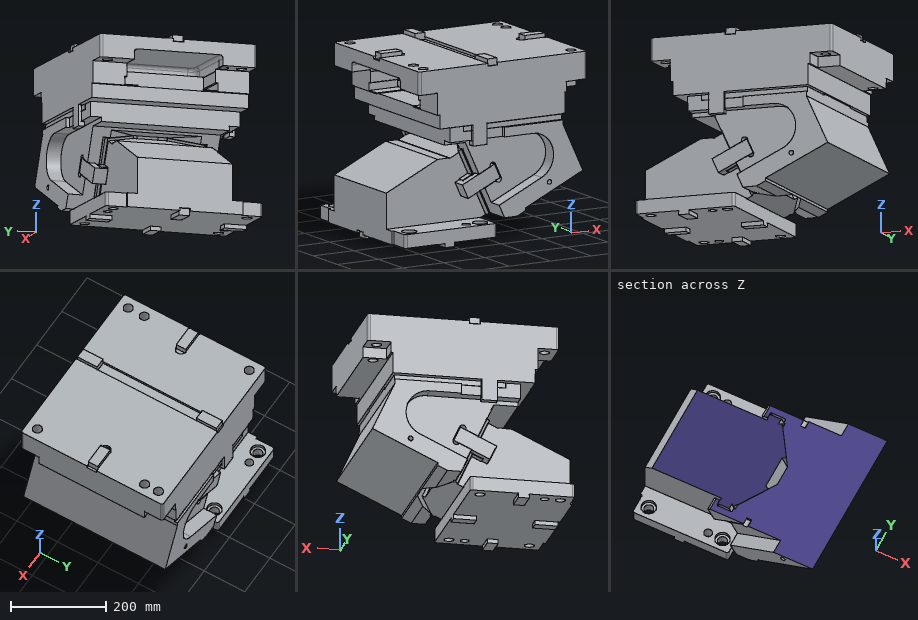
import cadquery as cq
import math

WIDTH = 350.0
HALF = WIDTH / 2
LENGTH = 450.0
HEIGHT = 393.0
CORNER_R = 5.5

KEY_WIDTH = 23.5
KEY_LENGTH = 49.5
KEY_PROUD = 9.0
KEY_SUNK = 6.0

PLATE_BACK = 39.0
PLATE_TOP = HEIGHT - KEY_PROUD
PLATE_UNDER = 333.5
BODY_BACK = 84.0
WALL_BACK = 90.0
WALL_TOP = 286.0
BODY_FRONT = 396.0
HOUSING_BOTTOM = 256.0
LIP_UNDER = 301.0
NOTCH_TOP = 324.0
NOTCH_BACK = 399.5
NOTCH_DEPTH = 45.0
HOUSING_KEY_X = 219.5
HOUSING_KEY_INNER = 122.5
BACK_KEY_EXTRA = 1.5
HOUSING_HOLE_D = 20.5
HOUSING_HOLE_BACK = 65.0
HOUSING_HOLE_FRONT = 425.2
HOLE_Y = 149.5
DOWEL_BACK_Y = -110.0
DOWEL_FRONT_Y = 115.0
LUG_BACK = 171.0
LUG_FRONT = 205.0
LUG_BOTTOM = 210.5
LUG_LIP_TOP = 220.0
LUG_INNER = 168.8
LUG_LIP_INNER = 161.5
POCKET_HALF = 99.0
POCKET_TOP = 356.0
POCKET_FRONT = 202.5
POCKET_CORNER_R = 19.0
POCKET_ROOF_R = 7.5

SLIDER_BACK = 120.0
SLIDER_FRONT = 391.5
SLIDER_TOP = 254.0
FLANGE_UNDER = 222.0
SLIDER_UNDER = 212.5
SLIDER_BOTTOM = 48.0
CORE_HALF = 142.5
FLANGE_HALF = 167.0
STRIP_HALF = 168.5
STRIP_BACK = 152.0
STRIP_UNDER = 242.5
SHOULDER_BACK = 248.5
RECESS_R = 51.0
RECESS_CENTER_X = 317.0
RECESS_OPEN_X = 97.5
LEG_HOLE_D = 10.0
LEG_HOLE_DEPTH = 22.5
LEG_HOLE_X = 357.8
LEG_HOLE_Z = 113.5
TONGUE_BACK = 152.0
TONGUE_TOP = 329.5
TONGUE_HALF = 96.8
TONGUE_ROOT = 4.5
HEAD_TOP = 303.5
HEAD_HALF = 102.0
HEAD_UNDER = 290.0
NECK_HALF = 73.0
TONGUE_GAP = 2.0

WEDGE_ANGLE = math.radians(25)
WEDGE_X = 211.5
WEDGE_Z = 127.0
COS = math.cos(WEDGE_ANGLE)
SIN = math.sin(WEDGE_ANGLE)

SLIDER_NOSE = 208.0
SLIDER_LOW = -94.5
SHELF_LOW = -100.0
SHELF_X = 299.5

FOOT_BACK = 5.0
FOOT_FRONT = 229.5
FOOT_BOTTOM = KEY_PROUD
FOOT_TOP = 38.5
BOSS_HALF = 129.0
BLOCK_HALF = 106.5
BLOCK_SHOULDER = 116.0
BLOCK_TOP = 174.5
BLOCK_FLAT_FRONT = 155.0
DRIVER_KEY_X = 114.8
DRIVER_HOLE_D = 20.5
DRIVER_CBORE_D = 32.5
DRIVER_CBORE_DEPTH = 7.5
DRIVER_HOLE_BACK = 30.5
DRIVER_HOLE_FRONT = 203.5
DRIVER_DOWEL_PITCH = 33.8
DRIVER_DOWEL_D = 18.0
DRIVER_HIGH = 66.0
DRIVER_LOW = -88.5
DRIVER_END = -6.8
ROOF_ANGLE = math.radians(30)
RIDGE_HALF = 38.0
WEAR_THICKNESS = 7.5
WEAR_HIGH = 71.5
WEAR_OVERHANG = 2.5
GROOVE_RIDGE_HALF = 23.5
RELIEF_HALF = 116.0
RELIEF_DEPTH = 3.0
RUNOUT_HALF = 101.0
RUNOUT_TOP = 207.0
RUNOUT_OVERLAP = 4.5

HOOK_BACK = -44.0
HOOK_FRONT = 42.5
HOOK_LOW = -19.0
HOOK_HIGH = 15.0
HOOK_OUTER = 141.5
HOOK_INNER = 111.0
ARM_INNER = 125.5
CLAW_LENGTH = 13.0
HOOK_RELIEF_R = 6.8
HOOK_END_GAP = 1.5
CATCH_OUTER = 122.0
CATCH_MARGIN = 0.5


def box(x0, x1, y0, y1, z0, z1):
    return cq.Workplane("XY").box(x1 - x0, y1 - y0, z1 - z0, centered=False).translate((x0, y0, z0))


def both_sides(shape):
    """The shape and its mirror image across Y = 0."""
    return shape.union(shape.mirror("XZ"))


def side_profile(points, half_width):
    """A closed X-Z outline extruded equally to both sides of Y = 0."""
    return cq.Workplane("XZ").polyline(points).close().extrude(half_width, both=True)


def wedge_point(along, across):
    """X and Z of a point given along and across the drive direction."""
    return (WEDGE_X + along * COS - across * SIN, WEDGE_Z + along * SIN + across * COS)


def on_line_at_x(across, x):
    """Point at a given X on the line that runs along the drive direction."""
    return wedge_point((x - WEDGE_X + across * SIN) / COS, across)


def on_line_at_z(along, z):
    """Point at a given Z on the line that runs square to the drive direction."""
    return wedge_point(along, (z - WEDGE_Z - along * SIN) / COS)


def wedge_box(along0, along1, y0, y1, across0, across1):
    """A block aligned with the drive direction."""
    corners = [
        wedge_point(along0, across0),
        wedge_point(along1, across0),
        wedge_point(along1, across1),
        wedge_point(along0, across1),
    ]
    return cq.Workplane("XZ", origin=(0, y0, 0)).polyline(corners).close().extrude(y0 - y1)


def wedge_section(points, across0, across1):
    """A (Y, along) section extruded across the drive direction."""
    x, z = wedge_point(0, across0)
    plane = cq.Plane(origin=(x, 0, z), xDir=(0, -1, 0), normal=(-SIN, 0, COS))
    outline = [(-y, along) for y, along in points]
    return cq.Workplane(plane).polyline(outline).close().extrude(across1 - across0)


def mirrored(points):
    """Close a section symmetrically from its +Y half."""
    return points + [(-y, height) for y, height in reversed(points)]


def keys_along_y(x_center, y_inner, z0, z1):
    half_key = KEY_WIDTH / 2
    return both_sides(box(x_center - half_key, x_center + half_key, y_inner, y_inner + KEY_LENGTH, z0, z1))


def key_along_x(x0, x1, z0, z1):
    return box(x0, x1, -KEY_WIDTH / 2, KEY_WIDTH / 2, z0, z1)


def tongue(x0, x1, gap):
    """The T-shaped tongue, grown by a clearance."""
    half_section = [
        (NECK_HALF + gap, SLIDER_TOP - TONGUE_ROOT),
        (NECK_HALF + gap, HEAD_UNDER - gap),
        (HEAD_HALF + gap, HEAD_UNDER - gap),
        (HEAD_HALF + gap, HEAD_TOP + gap),
        (TONGUE_HALF + gap, HEAD_TOP + gap),
        (TONGUE_HALF + gap, TONGUE_TOP),
    ]
    section = mirrored(half_section)
    return cq.Workplane("YZ", origin=(x0, 0, 0)).polyline(section).close().extrude(x1 - x0)


def make_housing():
    plate = box(PLATE_BACK, LENGTH, -HALF, HALF, LIP_UNDER, PLATE_TOP).edges("|Z").fillet(CORNER_R)
    plate = plate.cut(box(PLATE_BACK, BODY_BACK, -HALF, HALF, LIP_UNDER, PLATE_UNDER))
    body = side_profile(
        [
            (BODY_BACK, PLATE_TOP),
            (BODY_BACK, WALL_TOP),
            (WALL_BACK, WALL_TOP),
            (WALL_BACK, HOUSING_BOTTOM),
            (BODY_FRONT, HOUSING_BOTTOM),
            (BODY_FRONT, PLATE_TOP),
        ],
        HALF,
    )
    notches = both_sides(box(NOTCH_BACK, LENGTH, HALF - NOTCH_DEPTH, HALF, LIP_UNDER, NOTCH_TOP))
    housing = plate.union(body).cut(notches)
    housing = housing.union(both_sides(retaining_lug()))
    housing = housing.cut(tongue_pocket())
    wall = box(BODY_BACK, TONGUE_BACK, -HALF, HALF, HOUSING_BOTTOM, WALL_TOP)
    housing = housing.cut(tongue(BODY_BACK, SLIDER_FRONT, TONGUE_GAP).cut(wall))
    return add_housing_keys(housing.cut(housing_holes()))


def retaining_lug():
    upright = box(LUG_BACK, LUG_FRONT, LUG_INNER, HALF, LUG_BOTTOM, HOUSING_BOTTOM)
    return upright.union(box(LUG_BACK, LUG_FRONT, LUG_LIP_INNER, HALF, LUG_BOTTOM, LUG_LIP_TOP))


def tongue_pocket():
    pocket = box(PLATE_BACK, POCKET_FRONT, -POCKET_HALF, POCKET_HALF, TONGUE_TOP, POCKET_TOP)
    pocket = pocket.edges("|Z and >X").fillet(POCKET_CORNER_R)
    return pocket.faces(">Z").edges("not <X").fillet(POCKET_ROOF_R)


def housing_holes():
    points = [
        (HOUSING_HOLE_BACK, HOLE_Y),
        (HOUSING_HOLE_BACK, -HOLE_Y),
        (HOUSING_HOLE_FRONT, HOLE_Y),
        (HOUSING_HOLE_FRONT, -HOLE_Y),
        (HOUSING_HOLE_BACK, DOWEL_BACK_Y),
        (HOUSING_HOLE_FRONT, DOWEL_FRONT_Y),
    ]
    base = cq.Workplane("XY", origin=(0, 0, LIP_UNDER)).pushPoints(points)
    return base.circle(HOUSING_HOLE_D / 2).extrude(PLATE_TOP - LIP_UNDER)


def add_housing_keys(housing):
    seat = PLATE_TOP - KEY_SUNK
    half_key = KEY_WIDTH / 2
    back_start = PLATE_BACK + CORNER_R
    back_end = back_start + KEY_LENGTH + BACK_KEY_EXTRA
    front_end = LENGTH - CORNER_R
    front_start = front_end - KEY_LENGTH
    seats = box(HOUSING_KEY_X - half_key, HOUSING_KEY_X + half_key, -HALF, HALF, seat, PLATE_TOP)
    for inner, outer in ((back_end, PLATE_BACK), (front_start, LENGTH)):
        slot = key_along_x(min(inner, outer), max(inner, outer), seat, PLATE_TOP)
        slot_end = cq.Workplane("XY", origin=(inner, 0, seat)).circle(half_key).extrude(KEY_SUNK)
        seats = seats.union(slot).union(slot_end)
    housing = housing.cut(seats)
    housing = housing.union(key_along_x(back_start, back_end, seat, HEIGHT))
    housing = housing.union(key_along_x(front_start, front_end, seat, HEIGHT))
    return housing.union(keys_along_y(HOUSING_KEY_X, HOUSING_KEY_INNER, seat, HEIGHT))


def off_roof(y, along, distance):
    """A (Y, along) point moved square to the +Y roof slope."""
    return (y + distance * math.sin(ROOF_ANGLE), along + distance * math.cos(ROOF_ANGLE))


def wear_foot():
    """(Y, along) of the outer edge of a wear plate, on its seated face."""
    return (
        BLOCK_HALF + WEAR_OVERHANG * math.cos(ROOF_ANGLE),
        DRIVER_END - WEAR_OVERHANG * math.sin(ROOF_ANGLE),
    )


def wear_corner():
    """(Y, along) of the outer edge of a wear plate, on its running face."""
    return off_roof(*wear_foot(), WEAR_THICKNESS)


def vee(half_width, along, ridge_half):
    """A roof section with a flat ridge."""
    peak = along + (half_width - ridge_half) * math.tan(ROOF_ANGLE)
    return mirrored([(half_width, along), (ridge_half, peak)])


def wear_plate():
    """Flat plate on the +Y roof slope of the driver, square-ended."""
    ridge = (RIDGE_HALF, DRIVER_END + (BLOCK_HALF - RIDGE_HALF) * math.tan(ROOF_ANGLE))
    points = [wear_foot(), wear_corner(), off_roof(*ridge, WEAR_THICKNESS), ridge]
    return wedge_section(points, DRIVER_LOW, WEAR_HIGH)


def slider_outline():
    shelf_start_x = (SLIDER_BOTTOM - on_line_at_x(SHELF_LOW, 0)[1]) * COS / SIN
    nose_top_z = WEDGE_Z + (WEDGE_X - SLIDER_FRONT) * COS / SIN + SLIDER_NOSE / SIN
    return [
        (SLIDER_BACK, SLIDER_TOP),
        (SLIDER_BACK, SLIDER_UNDER),
        on_line_at_z(0, SLIDER_UNDER),
        on_line_at_z(0, SLIDER_BOTTOM),
        (shelf_start_x, SLIDER_BOTTOM),
        on_line_at_x(SHELF_LOW, SHELF_X),
        on_line_at_x(SLIDER_LOW, SHELF_X),
        wedge_point(SLIDER_NOSE, SLIDER_LOW),
        (SLIDER_FRONT, nose_top_z),
        (SLIDER_FRONT, SLIDER_TOP),
    ]


def side_recess():
    """Recess in the +Y side, open towards -X, with a round end tangent to both edges."""
    center_z = FLANGE_UNDER - RECESS_R
    low_tangent = (RECESS_CENTER_X + RECESS_R * SIN, center_z - RECESS_R * COS)
    open_z = low_tangent[1] - (low_tangent[0] - RECESS_OPEN_X) * SIN / COS
    return (
        cq.Workplane("XZ", origin=(0, CORE_HALF, 0))
        .moveTo(RECESS_OPEN_X, open_z)
        .lineTo(RECESS_OPEN_X, FLANGE_UNDER)
        .lineTo(RECESS_CENTER_X, FLANGE_UNDER)
        .threePointArc((RECESS_CENTER_X + RECESS_R, center_z), low_tangent)
        .close()
        .extrude(CORE_HALF - HALF)
    )


def make_slider():
    slider = side_profile(slider_outline(), HALF)
    slider = slider.cut(both_sides(side_recess()))
    narrow = box(SLIDER_BACK, SHOULDER_BACK, FLANGE_HALF, HALF, FLANGE_UNDER, SLIDER_TOP)
    ledge = box(SHOULDER_BACK, SLIDER_FRONT, STRIP_HALF, HALF, STRIP_UNDER, SLIDER_TOP)
    strip = box(STRIP_BACK, SHOULDER_BACK, FLANGE_HALF, STRIP_HALF, STRIP_UNDER, SLIDER_TOP)
    slider = slider.cut(both_sides(narrow)).cut(both_sides(ledge)).union(both_sides(strip))
    slider = slider.cut(both_sides(leg_hole()))
    slider = slider.union(tongue(TONGUE_BACK, SLIDER_FRONT, 0))
    slider = slider.cut(vee_groove())
    return slider.cut(both_sides(hook_seat())).union(both_sides(hook()))


def leg_hole():
    base = cq.Workplane("XZ", origin=(0, HALF, 0)).center(LEG_HOLE_X, LEG_HOLE_Z)
    return base.circle(LEG_HOLE_D / 2).extrude(LEG_HOLE_DEPTH)


def vee_groove():
    """Groove that runs on the wear plates, with side clearance and a shallower run-out above."""
    y, along = wear_corner()
    groove_low = 2 * SHELF_LOW
    groove = wedge_section(vee(y, along, GROOVE_RIDGE_HALF), groove_low, WEAR_HIGH)
    relief = wedge_box(along, RELIEF_DEPTH, -RELIEF_HALF, RELIEF_HALF, groove_low, WEAR_HIGH)
    runout_section = vee(RUNOUT_HALF, 0, GROOVE_RIDGE_HALF)
    runout = wedge_section(runout_section, WEAR_HIGH - RUNOUT_OVERLAP, 2 * WEAR_HIGH)
    below = box(0, LENGTH, -HALF, HALF, 0, RUNOUT_TOP)
    return groove.union(relief).union(runout.intersect(below))


def hook_seat():
    """Seat of a hook arm in the slider side, with round reliefs at its inner corners."""
    seat_end = HOOK_FRONT + HOOK_END_GAP
    seat = wedge_box(HOOK_BACK, seat_end, ARM_INNER, CORE_HALF, HOOK_LOW, HOOK_HIGH)
    points = [wedge_point(seat_end - HOOK_RELIEF_R, across) for across in (HOOK_LOW, HOOK_HIGH)]
    base = cq.Workplane("XZ", origin=(0, CORE_HALF, 0)).pushPoints(points)
    return seat.union(base.circle(HOOK_RELIEF_R).extrude(CORE_HALF - ARM_INNER))


def hook():
    """Arm seated in the slider side, with a claw that reaches inward behind the driver catch."""
    arm = wedge_box(HOOK_BACK, HOOK_FRONT, ARM_INNER, HOOK_OUTER, HOOK_LOW, HOOK_HIGH)
    claw_end = HOOK_BACK + CLAW_LENGTH
    return arm.union(wedge_box(HOOK_BACK, claw_end, HOOK_INNER, HOOK_OUTER, HOOK_LOW, HOOK_HIGH))


def make_driver():
    foot = box(FOOT_BACK, FOOT_FRONT, -HALF, HALF, FOOT_BOTTOM, FOOT_TOP).edges("|Z").fillet(CORNER_R)
    foot = foot.union(box(0, FOOT_FRONT, -BOSS_HALF, BOSS_HALF, FOOT_BOTTOM, FOOT_TOP))
    slope_run = (BLOCK_TOP - BLOCK_SHOULDER) * COS / SIN
    block = side_profile(
        [
            (0, FOOT_BOTTOM),
            (0, BLOCK_SHOULDER),
            (slope_run, BLOCK_TOP),
            (BLOCK_FLAT_FRONT, BLOCK_TOP),
            on_line_at_x(DRIVER_HIGH, BLOCK_FLAT_FRONT),
            wedge_point(DRIVER_END, DRIVER_HIGH),
            wedge_point(DRIVER_END, DRIVER_LOW),
            on_line_at_x(DRIVER_LOW, FOOT_FRONT),
            (FOOT_FRONT, FOOT_BOTTOM),
        ],
        BLOCK_HALF,
    )
    roof = wedge_section(vee(BLOCK_HALF, DRIVER_END, RIDGE_HALF), DRIVER_LOW, DRIVER_HIGH)
    driver = foot.union(block).union(roof)
    driver = driver.union(both_sides(wear_plate())).union(both_sides(catch()))
    return add_driver_keys(cut_driver_holes(driver))


def catch():
    """Lug on the +Y side of the driver, between the claw and the wear plate."""
    low = HOOK_LOW + CATCH_MARGIN
    high = HOOK_HIGH - CATCH_MARGIN
    return wedge_box(HOOK_BACK + CLAW_LENGTH, DRIVER_END, 0, CATCH_OUTER, low, high)


def cut_driver_holes(driver):
    for x in (DRIVER_HOLE_BACK, DRIVER_HOLE_FRONT):
        for y in (-HOLE_Y, HOLE_Y):
            hole = cq.Workplane("XY", origin=(x, y, 0)).circle(DRIVER_HOLE_D / 2).extrude(FOOT_TOP)
            bore_top = cq.Workplane("XY", origin=(x, y, FOOT_TOP))
            bore = bore_top.circle(DRIVER_CBORE_D / 2).extrude(-DRIVER_CBORE_DEPTH)
            driver = driver.cut(hole).cut(bore)
    dowels = [
        (DRIVER_HOLE_BACK + DRIVER_DOWEL_PITCH, HOLE_Y),
        (DRIVER_HOLE_FRONT - DRIVER_DOWEL_PITCH, -HOLE_Y),
    ]
    return driver.cut(cq.Workplane("XY").pushPoints(dowels).circle(DRIVER_DOWEL_D / 2).extrude(FOOT_TOP))


def add_driver_keys(driver):
    seat = FOOT_BOTTOM + KEY_SUNK
    driver = driver.cut(key_along_x(0, FOOT_BACK, FOOT_BOTTOM, seat))
    driver = driver.union(key_along_x(FOOT_BACK, FOOT_BACK + KEY_LENGTH, 0, seat))
    driver = driver.union(key_along_x(FOOT_FRONT - KEY_LENGTH, FOOT_FRONT, 0, seat))
    return driver.union(keys_along_y(DRIVER_KEY_X, HALF - KEY_LENGTH, 0, seat))


housing = make_housing()
slider = make_slider()
driver = make_driver()
result = cq.Compound.makeCompound([housing.val(), slider.val(), driver.val()])